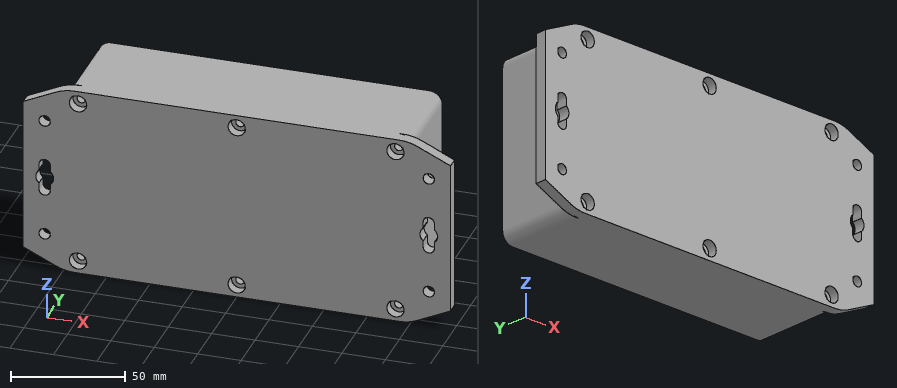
import cadquery as cq
import math

plate_length = 197.0
plate_height = 90.0
depth = 48.3

plate_thickness = 6.0
end_edge_height = 72.1
slant_angle = 25.0
slant_blend_radius = 20.0

body_length = 158.4
body_corner_radius = 6.0

screw_column_pitch = 73.0
screw_row_spacing = 78.0
screw_diameter = 4.0
screw_head_diameter = 7.9
screw_head_depth = 5.0

ear_hole_inset = 10.0
ear_hole_row_spacing = 56.0
ear_hole_diameter = 5.1
keyhole_length = 17.5
keyhole_slot_width = 5.1
keyhole_head_diameter = 8.0
keyhole_angle = 90


def face_plane(y):
    """Sketch plane at depth y with local axes X and Z; negative extrusion goes to +Y."""
    return cq.Workplane("XZ", origin=(0, y, 0))


def make_plate():
    half_length = plate_length / 2
    half_height = plate_height / 2
    half_end = end_edge_height / 2
    slant_run = (half_height - half_end) / math.tan(math.radians(slant_angle))
    shoulder = half_length - slant_run
    outline = [
        (half_length, half_end),
        (shoulder, half_height),
        (-shoulder, half_height),
        (-half_length, half_end),
        (-half_length, -half_end),
        (-shoulder, -half_height),
        (shoulder, -half_height),
        (half_length, -half_end),
    ]
    plate = face_plane(0).polyline(outline).close().extrude(-plate_thickness)
    return plate.edges("|Y").edges(">Z or <Z").fillet(slant_blend_radius)


def make_body():
    body = face_plane(plate_thickness).rect(body_length, plate_height).extrude(plate_thickness - depth)
    return body.edges("|Y").fillet(body_corner_radius)


def make_screw_holes():
    half_rows = screw_row_spacing / 2
    points = [(column * screw_column_pitch, side * half_rows) for column in (-1, 0, 1) for side in (-1, 1)]
    shanks = face_plane(0).pushPoints(points).circle(screw_diameter / 2).extrude(-depth)
    heads = face_plane(0).pushPoints(points).circle(screw_head_diameter / 2).extrude(-screw_head_depth)
    return shanks.union(heads)


def make_ear_openings():
    ear_x = plate_length / 2 - ear_hole_inset
    half_rows = ear_hole_row_spacing / 2
    hole_points = [(end * ear_x, side * half_rows) for end in (-1, 1) for side in (-1, 1)]
    slot_points = [(-ear_x, 0), (ear_x, 0)]
    holes = face_plane(0).pushPoints(hole_points).circle(ear_hole_diameter / 2).extrude(-plate_thickness)
    slots = (
        face_plane(0)
        .pushPoints(slot_points)
        .slot2D(keyhole_length, keyhole_slot_width, keyhole_angle)
        .extrude(-plate_thickness)
    )
    slot_heads = (
        face_plane(0)
        .pushPoints(slot_points)
        .circle(keyhole_head_diameter / 2)
        .extrude(-plate_thickness)
    )
    return holes.union(slots).union(slot_heads)


result = make_plate().union(make_body()).cut(make_screw_holes()).cut(make_ear_openings())